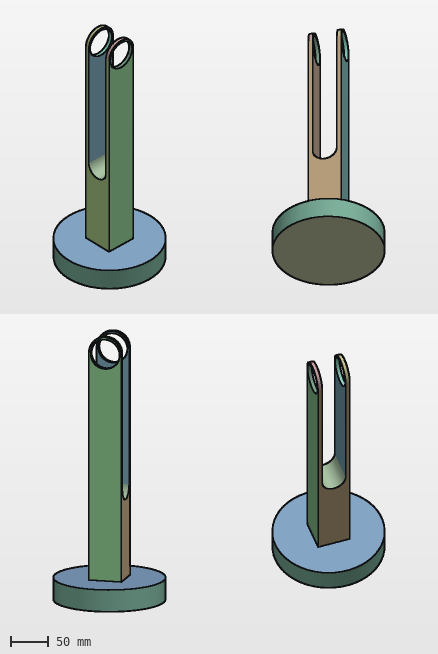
import cadquery as cq

base_diameter = 150.0
base_height = 30.0

overall_height = 363.26
post_width = 45.0
arm_thickness = 6.0
slot_bottom_height = 138.25

hole_diameter = 40.0
hole_height = 340.0

half_width = post_width / 2
shoulder_height = overall_height - half_width
slot_radius = half_width - arm_thickness
slot_arc_height = slot_bottom_height + slot_radius


def make_base():
    """Flat disc standing on the XY plane."""
    return cq.Workplane("XY").circle(base_diameter / 2).extrude(base_height)


def make_post():
    """Post profile in the YZ plane: a rectangle capped by a half circle."""
    return (
        cq.Workplane("YZ")
        .moveTo(-half_width, base_height)
        .lineTo(half_width, base_height)
        .lineTo(half_width, shoulder_height)
        .threePointArc((0, overall_height), (-half_width, shoulder_height))
        .close()
        .extrude(half_width, both=True)
    )


def make_slot():
    """Round-bottomed slot along Y, open at the top of the post."""
    return (
        cq.Workplane("XZ")
        .moveTo(-slot_radius, overall_height)
        .lineTo(-slot_radius, slot_arc_height)
        .threePointArc((0, slot_bottom_height), (slot_radius, slot_arc_height))
        .lineTo(slot_radius, overall_height)
        .close()
        .extrude(half_width, both=True)
    )


def make_cross_hole():
    """Round hole along X through both arms."""
    return (
        cq.Workplane("YZ")
        .center(0, hole_height)
        .circle(hole_diameter / 2)
        .extrude(half_width, both=True)
    )


result = make_base().union(make_post()).cut(make_slot()).cut(make_cross_hole())